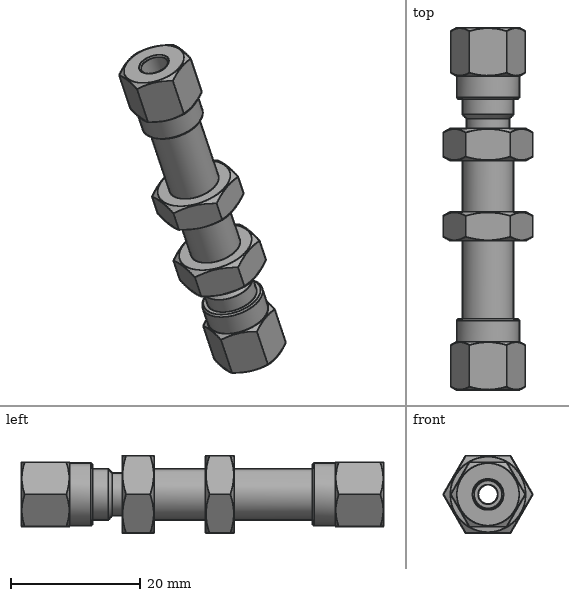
import cadquery as cq
import math

total_length = 56.1
end_nut_length = 7.5
collar_length = 3.55
collar_chamfer = 0.3
relief_start = 14.1
body_hex_start = 15.6
body_hex_length = 5.0
locknut_start = 28.5
locknut_length = 4.5

end_nut_flats = 10.0
large_hex_flats = 12.0
collar_diameter = 9.75
shaft_diameter = 7.95
relief_diameter = 6.7

through_diameter = 3.0
tube_diameter = 4.3
tube_depth = 7.5
mouth_diameter = 4.8
mouth_chamfer = (mouth_diameter - tube_diameter) / 2

corner_angle = 30.0
face_inset = 0.35
half_length = total_length / 2


def y_workplane(y):
    """Workplane across the axis at y; extruding runs toward -Y."""
    return cq.Workplane("XZ", origin=(0, y, 0))


def cylinder(y, length, diameter):
    return y_workplane(y).circle(diameter / 2).extrude(length)


def chamfered_hexagon(y, length, flats):
    """Hexagon with corners on +X and -X, both ends turned to a round face."""
    corner_radius = flats / 2 / math.cos(math.radians(30))
    face_radius = (flats - face_inset) / 2
    drop = (corner_radius - face_radius) * math.tan(math.radians(corner_angle))
    prism = y_workplane(y).polygon(6, 2 * corner_radius).extrude(length)
    envelope = (
        cq.Workplane("XY")
        .moveTo(0, y)
        .lineTo(face_radius, y)
        .lineTo(corner_radius, y - drop)
        .lineTo(corner_radius, y - length + drop)
        .lineTo(face_radius, y - length)
        .lineTo(0, y - length)
        .close()
        .revolve(360, (0, 0, 0), (0, 1, 0))
    )
    return prism.intersect(envelope)


def connection_end():
    """End hexagon and its round collar, at the +Y end."""
    collar = cylinder(half_length - end_nut_length, collar_length, collar_diameter)
    collar = collar.faces("<Y").chamfer(collar_chamfer)
    return chamfered_hexagon(half_length, end_nut_length, end_nut_flats).union(collar)


def relief_groove():
    """Ring removed beside the body hexagon, with a 45 degree runout toward +Y."""
    start = half_length - relief_start
    end = half_length - body_hex_start
    inner = relief_diameter / 2
    outer = shaft_diameter / 2
    return (
        cq.Workplane("XY")
        .moveTo(inner, end)
        .lineTo(inner, start)
        .lineTo(outer, start + outer - inner)
        .lineTo(outer, end)
        .close()
        .revolve(360, (0, 0, 0), (0, 1, 0))
    )


def tube_socket():
    """Tube bore with a chamfered mouth, at the +Y end."""
    bottom = half_length - tube_depth
    return (
        cq.Workplane("XY")
        .moveTo(0, half_length)
        .lineTo(mouth_diameter / 2, half_length)
        .lineTo(tube_diameter / 2, half_length - mouth_chamfer)
        .lineTo(tube_diameter / 2, bottom)
        .lineTo(0, bottom)
        .close()
        .revolve(360, (0, 0, 0), (0, 1, 0))
    )


def make_fitting():
    fitting = cylinder(half_length - end_nut_length, total_length - 2 * end_nut_length, shaft_diameter)
    fitting = fitting.cut(relief_groove())
    fitting = fitting.union(
        chamfered_hexagon(half_length - body_hex_start, body_hex_length, large_hex_flats)
    )
    end = connection_end()
    fitting = fitting.union(end).union(end.mirror("XZ"))
    socket = tube_socket()
    fitting = fitting.cut(socket).cut(socket.mirror("XZ"))
    return fitting.cut(cylinder(half_length, total_length, through_diameter))


def make_locknut():
    start = half_length - locknut_start
    nut = chamfered_hexagon(start, locknut_length, large_hex_flats)
    return nut.cut(cylinder(start, locknut_length, shaft_diameter))


fitting = make_fitting()
locknut = make_locknut()
result = cq.Compound.makeCompound([fitting.val(), locknut.val()])